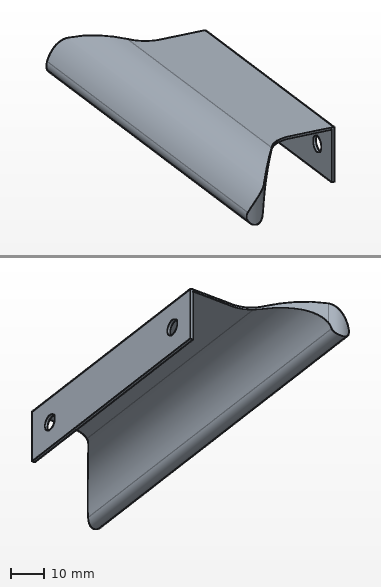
import cadquery as cq
import math

length = 130.0
depth = 42.0
height = 18.0

flange_thickness = 1.0
plate_thickness = 0.8
mount_width = 82.7
back_edge_radius = 0.4
hole_diameter = 5.2
hole_spacing = 64.0
hole_drop = 9.0

tip_radius = 3.0
tip_drop = 12.1
outer_start = 24.0
inner_radius = 15.0

neck_radius = 10.0
neck_start = 15.3
corner_radius = 5.0
corner_setback = 2.5


def polar(center, radius, angle):
    """Point at a radius and angle (radians) from a center."""
    return (center[0] + radius * math.cos(angle), center[1] + radius * math.sin(angle))


def angle_to(start, end):
    """Direction from one point to another, in radians."""
    return math.atan2(end[1] - start[1], end[0] - start[0])


def make_profile():
    """Extrude the side profile: an L-shaped bracket running into a curved grip with a round tip."""
    tip = (depth - tip_radius, -tip_drop)

    reach = tip[0] - outer_start
    outer_radius = (reach**2 + tip_drop**2 - tip_radius**2) / (2 * (tip_drop - tip_radius))
    outer_center = (outer_start, -outer_radius)
    outer_angle = angle_to(outer_center, tip)
    outer_end = polar(tip, tip_radius, outer_angle)
    outer_mid = polar(outer_center, outer_radius, (math.pi / 2 + outer_angle) / 2)

    inner_z = -plate_thickness - inner_radius
    inner_reach = math.sqrt((inner_radius + tip_radius) ** 2 - (tip[1] - inner_z) ** 2)
    inner_center = (tip[0] - inner_reach, inner_z)
    inner_angle = angle_to(inner_center, tip)
    inner_end = polar(inner_center, inner_radius, inner_angle)
    inner_mid = polar(inner_center, inner_radius, (math.pi / 2 + inner_angle) / 2)

    tip_mid = polar(tip, tip_radius, (outer_angle + inner_angle - math.pi) / 2)

    plane = cq.Plane(origin=(length / 2, 0, 0), xDir=(0, -1, 0), normal=(-1, 0, 0))
    profile = (
        cq.Workplane(plane)
        .moveTo(0, 0)
        .lineTo(outer_start, 0)
        .threePointArc(outer_mid, outer_end)
        .threePointArc(tip_mid, inner_end)
        .threePointArc(inner_mid, (inner_center[0], -plate_thickness))
        .lineTo(flange_thickness, -plate_thickness)
        .lineTo(flange_thickness, -height)
        .lineTo(0, -height)
        .close()
        .extrude(length)
    )
    return profile.faces(">Y").edges(">Z").fillet(back_edge_radius)


def make_plan():
    """Block with the plan outline: a straight mount flaring through concave necks to rounded ends."""
    half_mount = mount_width / 2
    neck = (half_mount + neck_radius, -neck_start)
    corner = (length / 2 - corner_radius, corner_setback - depth)

    center_distance = math.dist(neck, corner)
    flank_angle = angle_to(neck, corner) + math.asin((neck_radius + corner_radius) / center_distance)
    normal_angle = flank_angle + math.pi / 2
    neck_end = polar(neck, neck_radius, normal_angle - math.pi)
    neck_mid = polar(neck, neck_radius, (normal_angle - 2 * math.pi) / 2)
    corner_start = polar(corner, corner_radius, normal_angle)

    front_angle = -math.asin(corner_setback / corner_radius)
    corner_end = polar(corner, corner_radius, front_angle)
    corner_mid = polar(corner, corner_radius, (normal_angle + front_angle) / 2)

    half = (
        cq.Workplane("XY", origin=(0, 0, -height))
        .moveTo(0, 0)
        .lineTo(half_mount, 0)
        .lineTo(half_mount, -neck_start)
        .threePointArc(neck_mid, neck_end)
        .lineTo(*corner_start)
        .threePointArc(corner_mid, corner_end)
        .lineTo(0, -depth)
        .close()
        .extrude(height)
    )
    return half.union(half.mirror("YZ"))


def make_holes():
    """Pair of screw holes through the back flange."""
    return (
        cq.Workplane("XZ")
        .pushPoints([(side * hole_spacing / 2, -hole_drop) for side in (-1, 1)])
        .circle(hole_diameter / 2)
        .extrude(flange_thickness)
    )


result = make_profile().intersect(make_plan()).cut(make_holes())